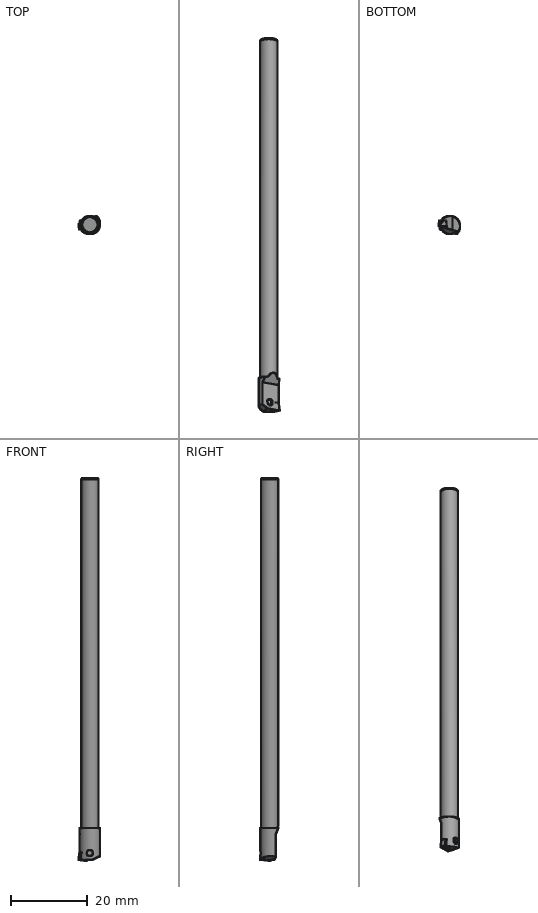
import cadquery as cq
import math

total_length = 100.0
shank_diameter = 4.6
shank_radius = shank_diameter / 2
end_chamfer_height = 0.4
end_chamfer_width = 0.3
foot_clearance = 0.3

head_radius = 2.7
head_offset = 0.2
head_top = 8.6
relief_start = 0.7
relief_height = 1.0

flat_offset = 1.0
flat_angle = 16.0
flat_top = 7.1
runout_slope = 2.0
cutter_size = 10.0

tip_x = -3.0
insert_side = 2.2
insert_tilt = -8.0
clearance_angle = 7.0
insert_face_y = 0.2
insert_thickness = 1.5
hole_diameter = 1.6
hole_z = 2.1
hole_depth = 1.0
recess_floor_y = 0.5


def make_shank():
    """Round shank with a chamfered top end."""
    shoulder_z = total_length - end_chamfer_height
    end_radius = shank_radius - end_chamfer_width
    profile = (
        cq.Workplane("XZ")
        .moveTo(0, head_top)
        .lineTo(shank_radius, head_top)
        .lineTo(shank_radius, shoulder_z)
        .lineTo(end_radius, total_length)
        .lineTo(0, total_length)
        .close()
    )
    return profile.revolve(360, (0, 0, 0), (0, 1, 0))


def make_head():
    """Wider head with a shifted axis and a sloping relief under its far side."""
    outline = (
        cq.Workplane("XZ")
        .moveTo(-head_radius, foot_clearance)
        .lineTo(relief_start, foot_clearance)
        .lineTo(head_radius, foot_clearance + relief_height)
        .lineTo(head_radius, head_top)
        .lineTo(-head_radius, head_top)
        .close()
        .extrude(cutter_size, both=True)
    )
    cylinder = cq.Workplane("XY").center(0, head_offset).circle(head_radius).extrude(head_top)
    return cylinder.intersect(outline)


def make_flat_cutter():
    """Tool that cuts the oblique chip flat and its sloping runout."""
    return (
        cq.Workplane("YZ")
        .moveTo(0, -cutter_size)
        .lineTo(cutter_size, -cutter_size)
        .lineTo(cutter_size, flat_top + runout_slope * cutter_size)
        .lineTo(0, flat_top)
        .close()
        .extrude(cutter_size, both=True)
        .rotate((0, 0, 0), (0, 0, 1), flat_angle)
        .translate((0, flat_offset, 0))
    )


def make_insert():
    """Tilted square insert whose flanks taper back from its cutting corner."""
    corners = []
    for turn in range(4):
        angle = math.radians(insert_tilt + 45 + 90 * turn)
        half_diagonal = insert_side / math.sqrt(2)
        corners.append((half_diagonal * math.cos(angle), half_diagonal * math.sin(angle)))
    leftmost = min(x for x, z in corners)
    lowest = min(z for x, z in corners)
    return (
        cq.Workplane("XZ", origin=(tip_x - leftmost, insert_face_y, -lowest))
        .polyline(corners)
        .close()
        .extrude(insert_thickness, taper=clearance_angle)
    )


def make_screw_hole():
    """Blind hole in the back of the head."""
    return (
        cq.Workplane("XZ", origin=(0, head_offset - head_radius + hole_depth, hole_z))
        .circle(hole_diameter / 2)
        .extrude(cutter_size)
    )


def make_screw_recess():
    """Recess in the chip flat on the axis of the screw hole."""
    return (
        cq.Workplane("XZ", origin=(0, recess_floor_y, hole_z))
        .circle(hole_diameter / 2)
        .extrude(-cutter_size)
    )


insert = make_insert()
bar = make_shank().union(make_head())
bar = bar.cut(make_flat_cutter())
bar = bar.cut(make_screw_hole()).cut(make_screw_recess()).cut(insert)

result = cq.Compound.makeCompound([bar.val(), insert.val()])